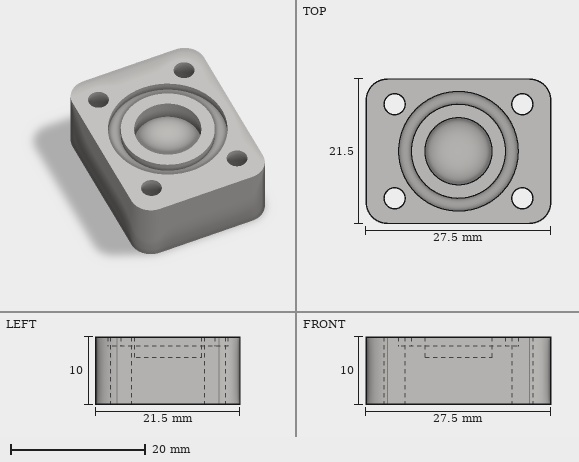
import cadquery as cq

length = 27.5
width = 21.5
height = 10.0
corner_radius = 3.2

hole_diameter = 3.1
hole_spacing_x = 19.0
hole_spacing_y = 14.0

groove_outer_diameter = 17.82
groove_inner_diameter = 14.0
groove_depth = 1.35
bore_diameter = 10.0
bore_depth = 3.0


def rounded_block():
    """Block standing on Z = 0 with rounded vertical edges."""
    block = cq.Workplane("XY").box(length, width, height, centered=(True, True, False))
    return block.edges("|Z").fillet(corner_radius)


def corner_holes():
    """Four cylinders for the through holes."""
    return (
        cq.Workplane("XY")
        .rect(hole_spacing_x, hole_spacing_y, forConstruction=True)
        .vertices()
        .circle(hole_diameter / 2)
        .extrude(height)
    )


def ring_groove():
    """Annular cutter that leaves a ring around the bore, flush with the top."""
    return (
        cq.Workplane("XY", origin=(0, 0, height))
        .circle(groove_outer_diameter / 2)
        .circle(groove_inner_diameter / 2)
        .extrude(-groove_depth)
    )


def central_bore():
    """Flat-bottomed cutter for the blind bore."""
    top = cq.Workplane("XY", origin=(0, 0, height))
    return top.circle(bore_diameter / 2).extrude(-bore_depth)


result = rounded_block().cut(corner_holes()).cut(ring_groove()).cut(central_bore())